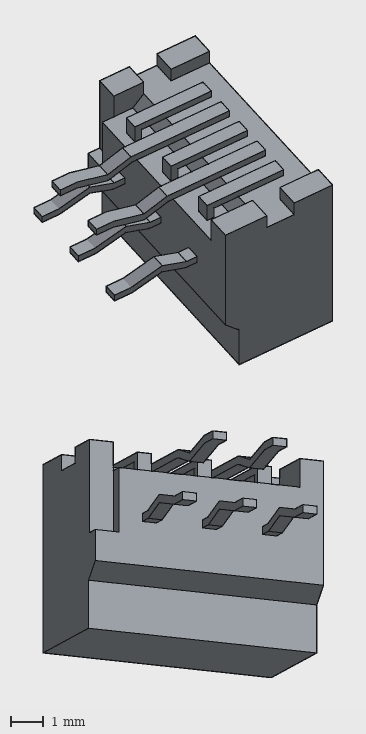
import cadquery as cq
import math


housing_width = 7.6
housing_height = 5.9
housing_depth = 3.9
rear_shelf_drop = 0.5
front_shelf_drop = 0.9
foot_setback = 0.5
foot_height = 1.505

post_width = 0.79
rear_post_depth = 1.4
front_post_depth = 1.505
notch_depth = 0.42
notch_height = 2.92

pin_count = 5
pin_pitch = 1.0
pin_width = 0.46
pin_thickness = 0.25
pin_rear_inset = 0.75
leg_setback = 0.365
lower_pin_drop = 2.26
tail_length = 3.0
tail_bend_start = 0.41
tail_bend_peak = 1.27
tail_bend_end = 2.38
tail_bend_rise = 0.305

rear_shelf_z = housing_height - rear_shelf_drop
front_shelf_z = housing_height - front_shelf_drop
front_shelf_depth = front_post_depth - (front_shelf_drop - rear_shelf_drop)
upper_pin_z = rear_shelf_z + pin_thickness / 2
lower_pin_z = housing_height - lower_pin_drop - pin_thickness / 2


def block(x_start, x_size, y_start, y_size, z_start, z_size):
    """Box given by its lowest corner and its sizes."""
    corner = (x_start, y_start, z_start)
    return cq.Workplane("XY").box(x_size, y_size, z_size, centered=False).translate(corner)


def extrude_across(outline, width, x_middle=0):
    """Extrude a closed (y, z) outline along X, centred on x_middle."""
    solid = cq.Workplane("YZ").polyline(outline).close().extrude(width / 2, both=True)
    return solid.translate((x_middle, 0, 0))


def make_housing():
    """Body with stepped shelves and set-back foot, plus posts at the four top corners."""
    outline = [
        (housing_depth, 0),
        (housing_depth, rear_shelf_z),
        (front_post_depth, rear_shelf_z),
        (front_shelf_depth, front_shelf_z),
        (0, front_shelf_z),
        (0, foot_height + foot_setback),
        (foot_setback, foot_height),
        (foot_setback, 0),
    ]
    housing = extrude_across(outline, housing_width)

    left_x = -housing_width / 2
    right_x = housing_width / 2 - post_width
    rear_post_y = housing_depth - rear_post_depth
    for post_x in (left_x, right_x):
        front_post = block(post_x, post_width, 0, front_post_depth, front_shelf_z, front_shelf_drop)
        rear_post = block(post_x, post_width, rear_post_y, rear_post_depth, rear_shelf_z, rear_shelf_drop)
        housing = housing.union(front_post).union(rear_post)

    notch = block(left_x, post_width, 0, notch_depth, housing_height - notch_height, notch_height)
    return housing.cut(notch)


def strip_outline(path, thickness):
    """Outline of a strip of even thickness with mitred corners around a (y, z) centre line."""
    directions = [math.atan2(b[1] - a[1], b[0] - a[0]) for a, b in zip(path, path[1:])]
    incoming = directions[:1] + directions
    outgoing = directions + directions[-1:]
    left_side = []
    right_side = []
    for (y, z), before, after in zip(path, incoming, outgoing):
        half_turn = math.remainder(after - before, 2 * math.pi) / 2
        miter = thickness / 2 / math.cos(half_turn)
        normal = before + half_turn + math.pi / 2
        dy = miter * math.cos(normal)
        dz = miter * math.sin(normal)
        left_side.append((y + dy, z + dz))
        right_side.append((y - dy, z - dz))
    return left_side + right_side[::-1]


def tail_path(level, rise):
    """Centre line of a kinked solder tail in front of the housing."""
    return [
        (-tail_bend_start, level),
        (-tail_bend_peak, level + rise),
        (-tail_bend_end, level),
        (-tail_length, level),
    ]


def make_pin(index):
    """Even pins drop through the housing to a lower tail; odd pins run straight to an upper tail."""
    path = [(housing_depth - pin_rear_inset, upper_pin_z)]
    if index % 2 == 0:
        leg_y = leg_setback + pin_thickness / 2
        path += [(leg_y, upper_pin_z), (leg_y, lower_pin_z)]
        path += tail_path(lower_pin_z, tail_bend_rise)
    else:
        path += tail_path(upper_pin_z, -tail_bend_rise)
    pin_x = (index - (pin_count - 1) / 2) * pin_pitch
    return extrude_across(strip_outline(path, pin_thickness), pin_width, pin_x)


result = make_housing()
for pin_index in range(pin_count):
    result = result.union(make_pin(pin_index))